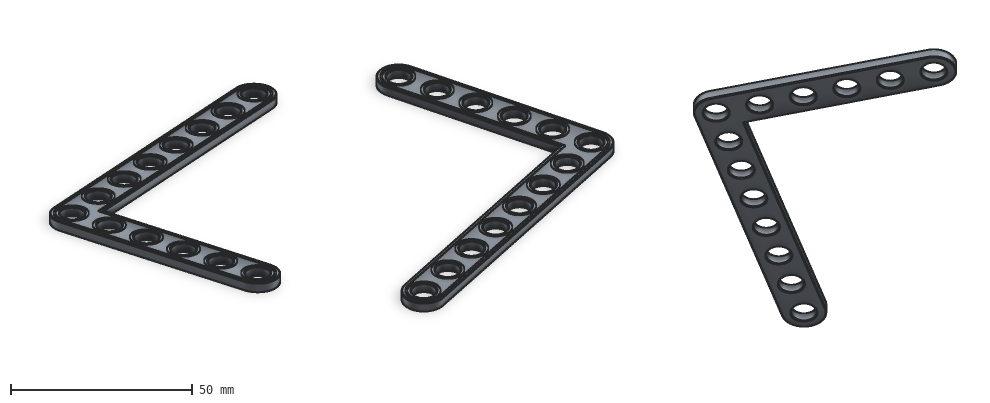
import cadquery as cq

pitch = 12.5
thickness = pitch / 4
holes_along_x = 6
holes_along_y = 8
hole_diameter = 7.0
border_width = 1.1
recess_depth = 0.2
edge_chamfer = 0.3

half_width = pitch / 2
collar_diameter = hole_diameter + 2 * border_width
arm_x = (holes_along_x - 1) * pitch
arm_y = (holes_along_y - 1) * pitch
hole_centres = [(i * pitch, 0) for i in range(holes_along_x)]
hole_centres += [(0, i * pitch) for i in range(1, holes_along_y)]


def angle_prism(radius, base_z, height):
    """L-shaped prism with round arm ends, a round outer corner and a sharp inner corner."""
    return (
        cq.Workplane("XY")
        .workplane(offset=base_z)
        .moveTo(0, -radius)
        .lineTo(arm_x, -radius)
        .threePointArc((arm_x + radius, 0), (arm_x, radius))
        .lineTo(radius, radius)
        .lineTo(radius, arm_y)
        .threePointArc((0, arm_y + radius), (-radius, arm_y))
        .lineTo(-radius, 0)
        .radiusArc((0, -radius), -radius)
        .close()
        .extrude(height)
    )


def perforated_plate():
    """Plain plate with all its through holes, every face edge chamfered."""
    holes = (
        cq.Workplane("XY")
        .pushPoints(hole_centres)
        .circle(hole_diameter / 2)
        .extrude(thickness)
    )
    plate = angle_prism(half_width, 0, thickness).cut(holes)
    return plate.faces("|Z").edges().chamfer(edge_chamfer)


def panel_recess():
    """Shallow sunken panel in the top face, interrupted by the hole collars."""
    floor_z = thickness - recess_depth
    panel = angle_prism(half_width - border_width, floor_z, recess_depth)
    collars = (
        cq.Workplane("XY")
        .workplane(offset=floor_z)
        .pushPoints(hole_centres)
        .circle(collar_diameter / 2)
        .extrude(recess_depth)
    )
    return panel.cut(collars)


result = perforated_plate().cut(panel_recess())